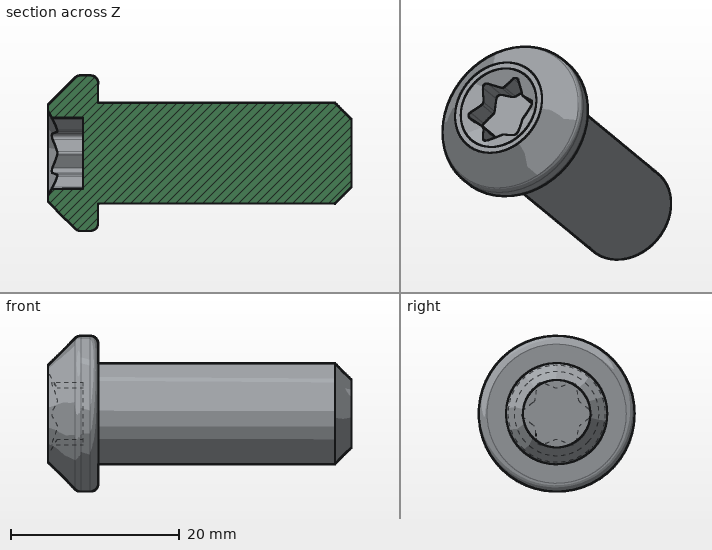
import cadquery as cq
import math

length = 36.0
head_diameter = 18.5
head_height = 6.0
front_face_diameter = 11.5
rim_radius = 1.0
cone_angle = math.radians(45.0)

shank_diameter = 12.0
tip_chamfer = 2.0

lobe_count = 6
lobe_tip_radius = 4.5
lobe_valley_radius = 3.0
lobe_tip_rounding = 0.5
lobe_valley_rounding = 0.5
socket_depth = 4.15
countersink_radius = 5.0
countersink_floor_radius = 2.8
countersink_slope = math.radians(30.0)
countersink_depth = (countersink_radius - countersink_floor_radius) * math.tan(countersink_slope)


def arc_point(centre_x, centre_r, angle):
    """Point on a rim arc, with the angle measured from the radial direction towards -X."""
    return (
        centre_x - rim_radius * math.sin(angle),
        centre_r + rim_radius * math.cos(angle),
    )


def make_screw_body():
    """Head and shank as one profile revolved about X."""
    head_radius = head_diameter / 2
    shank_radius = shank_diameter / 2
    arc_centre_r = head_radius - rim_radius
    rear_arc_x = head_height - rim_radius
    cone_rise = arc_centre_r + rim_radius * math.cos(cone_angle) - front_face_diameter / 2
    front_arc_x = cone_rise / math.tan(cone_angle) + rim_radius * math.sin(cone_angle)
    profile = (
        cq.Workplane("XY")
        .moveTo(0, 0)
        .lineTo(0, front_face_diameter / 2)
        .lineTo(*arc_point(front_arc_x, arc_centre_r, cone_angle))
        .threePointArc(
            arc_point(front_arc_x, arc_centre_r, cone_angle / 2),
            (front_arc_x, head_radius),
        )
        .lineTo(rear_arc_x, head_radius)
        .threePointArc(
            arc_point(rear_arc_x, arc_centre_r, -math.pi / 4),
            (head_height, arc_centre_r),
        )
        .lineTo(head_height, shank_radius)
        .lineTo(length - tip_chamfer, shank_radius)
        .lineTo(length, shank_radius - tip_chamfer)
        .lineTo(length, 0)
        .close()
    )
    return profile.revolve(360, (0, 0, 0), (1, 0, 0))


def star_corners(radius, start_angle):
    """Evenly spaced (y, z) corners around the axis."""
    step = 2 * math.pi / lobe_count
    angles = [start_angle + i * step for i in range(lobe_count)]
    return [(radius * math.cos(a), radius * math.sin(a)) for a in angles]


def round_edges_at(prism, radius, rounding):
    """Round the lengthwise edges of the star prism that lie at the given distance from X."""
    corner_edges = [
        edge
        for edge in prism.edges("|X").vals()
        if math.isclose(math.hypot(edge.Center().y, edge.Center().z), radius, rel_tol=1e-6)
    ]
    return prism.newObject(corner_edges).fillet(rounding)


def make_drive_socket():
    """Star-shaped prism, with a lobe pointing along Y, sunk from the front face."""
    tips = star_corners(lobe_tip_radius, 0)
    valleys = star_corners(lobe_valley_radius, math.pi / lobe_count)
    outline = [corner for pair in zip(tips, valleys) for corner in pair]
    prism = cq.Workplane("YZ").polyline(outline).close().extrude(socket_depth)
    prism = round_edges_at(prism, lobe_tip_radius, lobe_tip_rounding)
    return round_edges_at(prism, lobe_valley_radius, lobe_valley_rounding)


def make_countersink():
    """Conical lead-in at the mouth of the socket."""
    profile = (
        cq.Workplane("XY")
        .moveTo(0, 0)
        .lineTo(0, countersink_radius)
        .lineTo(countersink_depth, countersink_floor_radius)
        .lineTo(countersink_depth, 0)
        .close()
    )
    return profile.revolve(360, (0, 0, 0), (1, 0, 0))


result = make_screw_body().cut(make_countersink()).cut(make_drive_socket())